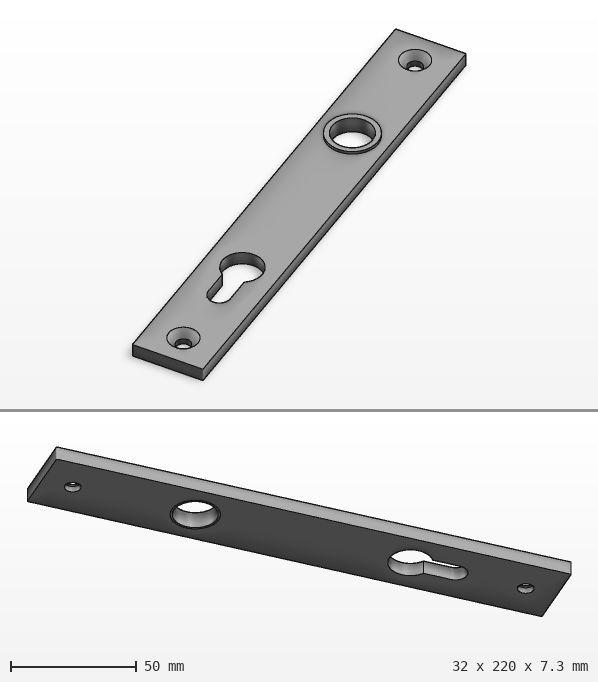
import cadquery as cq

plate_width = 32.0
plate_length = 220.0
plate_thickness = 6.0
corner_radius = 0.5

screw_hole_diameter = 6.5
countersink_diameter = 13.2
countersink_angle = 90.0
screw_end_distance = 13.2
screw_y = plate_length / 2 - screw_end_distance

bushing_y = 44.5
bushing_bore_diameter = 18.3
bushing_neck_diameter = 20.0
bushing_flange_diameter = 23.0
overall_height = 7.3
flange_height = overall_height - plate_thickness

handle_to_key_distance = 92.0
keyhole_y = bushing_y - handle_to_key_distance
keyhole_diameter = 18.0
key_slot_width = 10.0
key_slot_reach = 24.2
key_slot_straight = key_slot_reach - key_slot_width / 2


def make_disc(y, diameter, height, base_z=0.0):
    """Upright cylinder on the plate's centreline."""
    return cq.Workplane("XY", origin=(0, y, base_z)).circle(diameter / 2).extrude(height)


def make_keyhole_cutter():
    """Through-cutter for the round opening joined to its slot."""
    opening = make_disc(keyhole_y, keyhole_diameter, plate_thickness)
    slot_sides = (
        cq.Workplane("XY")
        .center(0, keyhole_y - key_slot_straight / 2)
        .rect(key_slot_width, key_slot_straight)
        .extrude(plate_thickness)
    )
    slot_end = make_disc(keyhole_y - key_slot_straight, key_slot_width, plate_thickness)
    return opening.union(slot_sides).union(slot_end)


def make_plate():
    """Flat plate with screw holes, bushing seat and keyhole."""
    blank = cq.Workplane("XY").box(plate_width, plate_length, plate_thickness, centered=(True, True, False))
    blank = blank.edges("|Z").fillet(corner_radius)

    drilled = (
        blank.faces(">Z")
        .workplane(origin=(0, 0, plate_thickness))
        .pushPoints([(0, screw_y), (0, -screw_y)])
        .cskHole(screw_hole_diameter, countersink_diameter, countersink_angle)
    )

    bushing_seat = make_disc(bushing_y, bushing_neck_diameter, plate_thickness)
    return drilled.cut(bushing_seat).cut(make_keyhole_cutter())


def make_bushing():
    """Ring whose neck fills the seat and whose flange rests on the plate."""
    neck = make_disc(bushing_y, bushing_neck_diameter, plate_thickness)
    flange = make_disc(bushing_y, bushing_flange_diameter, flange_height, plate_thickness)
    bore = make_disc(bushing_y, bushing_bore_diameter, overall_height)
    return neck.union(flange).cut(bore)


plate = make_plate()
bushing = make_bushing()

result = cq.Compound.makeCompound([plate.solids().val(), bushing.solids().val()])